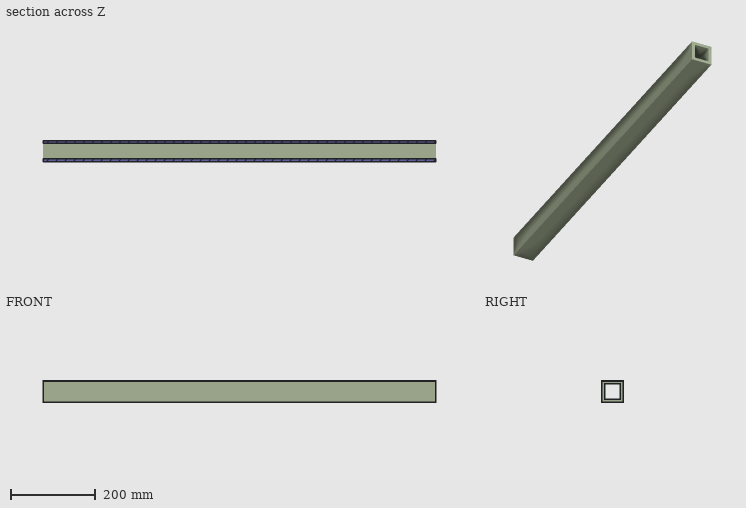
import cadquery as cq

length = 927.0
outer_side = 51.0
wall = 7.0
inner_side = outer_side - 2 * wall

result = (
    cq.Workplane("YZ")
    .rect(outer_side, outer_side)
    .rect(inner_side, inner_side)
    .extrude(length)
)